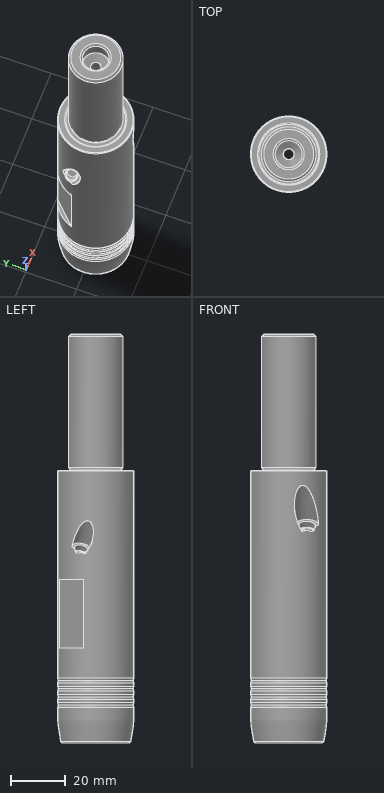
import cadquery as cq
import math

TOTAL_HEIGHT = 150.0
HOUSING_TOP = 100.0
HOUSING_DIAMETER = 28.0
HOUSING_RADIUS = HOUSING_DIAMETER / 2
HOUSING_TOP_CHAMFER = 0.3

NOSE_HEIGHT = 8.5
NOSE_TIP_RADIUS = 12.9
NOSE_BULGE = 0.2
NOSE_CHAMFER = 0.6

GROOVE_COUNT = 4
GROOVE_FIRST_Z = 14.0
GROOVE_PITCH = 3.0
GROOVE_WIDTH = 1.8
GROOVE_DEPTH = 0.3

SEAT_RADIUS = 11.4
SEAT_DEPTH = 0.5

SHANK_RADIUS = 10.0
SHANK_CHAMFER = 0.9
NECK_RADIUS = 9.5
NECK_TOP = 100.5
NECK_CHAMFER = 0.6

BORE_RADIUS = 2.0
MOUTH_RADIUS = 5.0
MOUTH_CHAMFER = 0.8
MOUTH_DEPTH = 6.0
MOUTH_CONE_ANGLE = 59.0

FLAT_BOTTOM = 35.0
FLAT_TOP = 60.0
FLAT_DISTANCE = 12.6
FLAT_AZIMUTH = 135.0

PORT_MIDDLE_DEPTH = 2.5
PORT_INNER_DEPTH = 7.5
LARGE_PORT = dict(radii=(4.5, 3.2, 2.5), x=6.6, y=-9.5, z=79.8, tilt=30.0, heading=90.0)
SMALL_PORT = dict(radii=(3.5, 2.4, 2.0), x=-11.0, y=5.4, z=71.4, tilt=35.0, heading=17.0)


def make_housing_blank():
    """Turned housing with its rounded nose and chamfered ends."""
    nose_drop = HOUSING_RADIUS - NOSE_TIP_RADIUS
    nose_middle = (
        HOUSING_RADIUS - nose_drop / 2 + NOSE_BULGE,
        (NOSE_HEIGHT + NOSE_CHAMFER) / 2,
    )
    return (
        cq.Workplane("XZ")
        .lineTo(NOSE_TIP_RADIUS - NOSE_CHAMFER, 0)
        .lineTo(NOSE_TIP_RADIUS, NOSE_CHAMFER)
        .threePointArc(nose_middle, (HOUSING_RADIUS, NOSE_HEIGHT))
        .lineTo(HOUSING_RADIUS, HOUSING_TOP - HOUSING_TOP_CHAMFER)
        .lineTo(HOUSING_RADIUS - HOUSING_TOP_CHAMFER, HOUSING_TOP)
        .lineTo(SEAT_RADIUS, HOUSING_TOP)
        .lineTo(SEAT_RADIUS - SEAT_DEPTH, HOUSING_TOP - SEAT_DEPTH)
        .lineTo(0, HOUSING_TOP - SEAT_DEPTH)
        .close()
        .revolve(360, (0, 0, 0), (0, 1, 0))
    )


def make_groove(z):
    """Ring with a triangular section that cuts one V groove."""
    return (
        cq.Workplane("XZ")
        .moveTo(HOUSING_RADIUS, z - GROOVE_WIDTH / 2)
        .lineTo(HOUSING_RADIUS - GROOVE_DEPTH, z)
        .lineTo(HOUSING_RADIUS, z + GROOVE_WIDTH / 2)
        .close()
        .revolve(360, (0, 0, 0), (0, 1, 0))
    )


def make_flat_cutter():
    """Block whose inner face is the flat."""
    height = FLAT_TOP - FLAT_BOTTOM
    return (
        cq.Workplane("XY")
        .box(HOUSING_RADIUS, 2 * HOUSING_RADIUS, height, centered=(False, True, False))
        .translate((FLAT_DISTANCE, 0, FLAT_BOTTOM))
        .rotate((0, 0, 0), (0, 0, 1), FLAT_AZIMUTH)
    )


def make_port_cutter(radii, x, y, z, tilt, heading):
    """Bore in three steps; (x, y, z) is the centre of its first step, heading the way it runs inward."""
    outer_radius, middle_radius, inner_radius = radii
    lean = math.radians(tilt)
    turn = math.radians(heading)
    inward = cq.Vector(
        math.sin(lean) * math.cos(turn),
        math.sin(lean) * math.sin(turn),
        -math.cos(lean),
    )
    step = cq.Vector(x, y, z)
    outer_bore = cq.Solid.makeCylinder(outer_radius, 2 * HOUSING_RADIUS, step, inward * -1)
    middle_bore = cq.Solid.makeCylinder(middle_radius, PORT_MIDDLE_DEPTH, step, inward)
    inner_bore = cq.Solid.makeCylinder(inner_radius, PORT_MIDDLE_DEPTH + PORT_INNER_DEPTH, step, inward)
    return cq.Workplane(outer_bore.fuse(middle_bore, inner_bore))


def make_housing():
    housing = make_housing_blank()
    for index in range(GROOVE_COUNT):
        housing = housing.cut(make_groove(GROOVE_FIRST_Z + index * GROOVE_PITCH))
    housing = housing.cut(make_flat_cutter())
    for port in (LARGE_PORT, SMALL_PORT):
        housing = housing.cut(make_port_cutter(**port))
    return housing.cut(cq.Workplane("XY").circle(BORE_RADIUS).extrude(HOUSING_TOP))


def make_shank():
    """Turned shank standing on the seat, with a mouth that funnels into the bore."""
    cone_top = TOTAL_HEIGHT - MOUTH_DEPTH
    cone_height = (MOUTH_RADIUS - BORE_RADIUS) / math.tan(math.radians(MOUTH_CONE_ANGLE))
    foot = HOUSING_TOP - SEAT_DEPTH
    return (
        cq.Workplane("XZ")
        .moveTo(BORE_RADIUS, foot)
        .lineTo(NECK_RADIUS, foot)
        .lineTo(NECK_RADIUS, NECK_TOP)
        .lineTo(SHANK_RADIUS, NECK_TOP + NECK_CHAMFER)
        .lineTo(SHANK_RADIUS, TOTAL_HEIGHT - SHANK_CHAMFER)
        .lineTo(SHANK_RADIUS - SHANK_CHAMFER, TOTAL_HEIGHT)
        .lineTo(MOUTH_RADIUS + MOUTH_CHAMFER, TOTAL_HEIGHT)
        .lineTo(MOUTH_RADIUS, TOTAL_HEIGHT - MOUTH_CHAMFER)
        .lineTo(MOUTH_RADIUS, cone_top)
        .lineTo(BORE_RADIUS, cone_top - cone_height)
        .close()
        .revolve(360, (0, 0, 0), (0, 1, 0))
    )


housing = make_housing()
shank = make_shank()
result = cq.Compound.makeCompound([housing.val(), shank.val()])